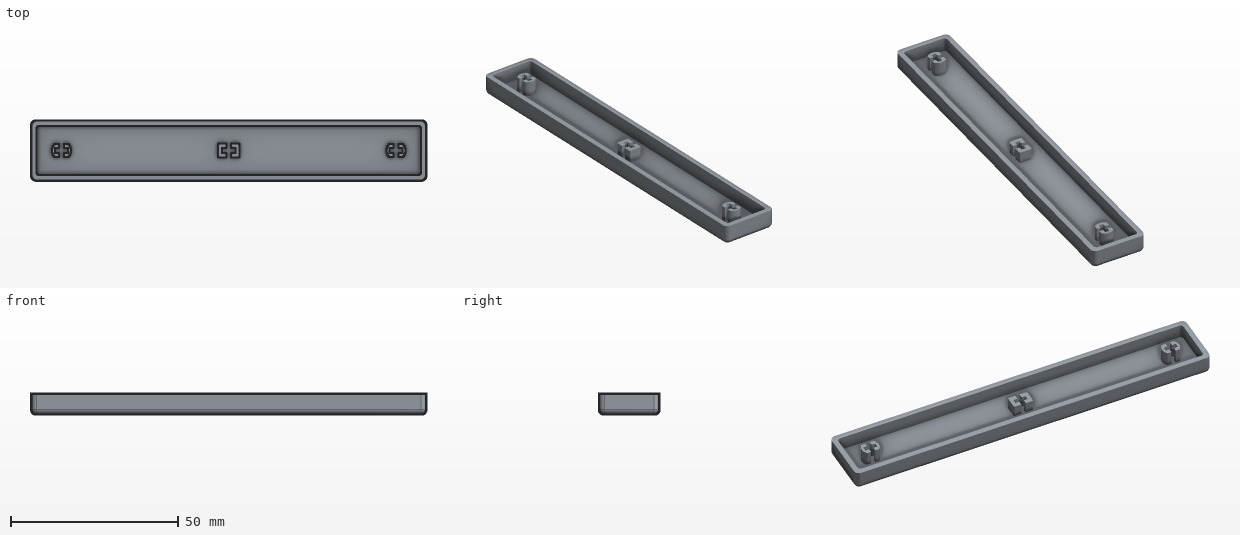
import cadquery as cq

length = 118.1
width = 18.1
height = 6.3
wall = 1.7
floor = 1.5
corner_radius = 1.7
cavity_corner_radius = 1.0
bottom_radius = 1.5

side_stem_depth = 4.0
center_stem_length = 6.4
center_stem_depth = 4.3
center_stem_radius = 0.4
center_stem_height = 3.8
side_stem_diameter = 5.7
side_stem_height = height - floor
side_stem_offset = 49.9

closed_slot_length = 4.0
closed_slot_width = 1.4
open_slot_width = 1.4
slot_corner_radius = 0.4


def floor_block(size_x, size_y, block_height):
    """Block centered on the Z axis and standing on the tray floor."""
    return cq.Workplane("XY", origin=(0, 0, floor)).rect(size_x, size_y).extrude(block_height)


def make_tray():
    body = cq.Workplane("XY").box(length, width, height, centered=(True, True, False))
    body = body.edges("|Z").fillet(corner_radius)
    body = body.faces("<Z").edges().fillet(bottom_radius)
    cavity = floor_block(length - 2 * wall, width - 2 * wall, height - floor)
    return body.cut(cavity.edges("|Z").fillet(cavity_corner_radius))


def make_socket(open_slot_length, socket_height):
    """Cross socket with rounded corners where the two slots meet."""
    closed_slot = floor_block(closed_slot_length, closed_slot_width, socket_height)
    open_slot = floor_block(open_slot_width, open_slot_length, socket_height)
    half_x = open_slot_width / 2
    half_y = closed_slot_width / 2
    inner_corners = cq.selectors.BoxSelector(
        (-half_x - slot_corner_radius, -half_y - slot_corner_radius, 0),
        (half_x + slot_corner_radius, half_y + slot_corner_radius, height),
    )
    return closed_slot.union(open_slot).edges("|Z").edges(inner_corners).fillet(slot_corner_radius)


def make_center_stem():
    """Rectangular post with rounded upright edges."""
    post = floor_block(center_stem_length, center_stem_depth, center_stem_height)
    return post.edges("|Z").fillet(center_stem_radius).cut(make_socket(center_stem_depth, center_stem_height))


def make_side_stem():
    """Round post cut flat on its two long sides."""
    post = cq.Workplane("XY", origin=(0, 0, floor)).circle(side_stem_diameter / 2).extrude(side_stem_height)
    flats = floor_block(side_stem_diameter, side_stem_depth, side_stem_height)
    return post.intersect(flats).cut(make_socket(side_stem_depth, side_stem_height))


result = make_tray().union(make_center_stem())
for side in (-1, 1):
    result = result.union(make_side_stem().translate((side * side_stem_offset, 0, 0)))